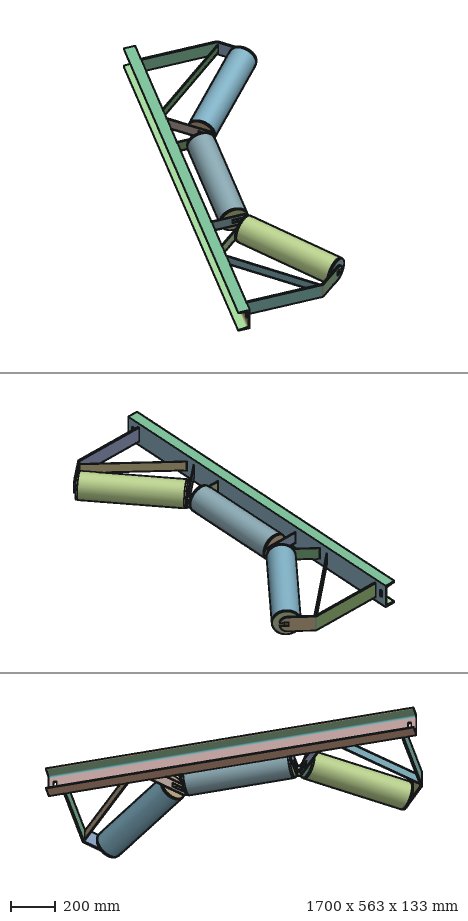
import cadquery as cq
import math

BEAM_LENGTH = 1700.0
BEAM_HEIGHT = 120.0
BEAM_DEPTH = 55.0
WEB_THICKNESS = 7.0
FLANGE_ROOT = 12.0
FLANGE_TIP = 7.0
ROOT_FILLET = 8.0
TIP_FILLET = 3.0
MOUNT_SLOT_LENGTH = 35.0
MOUNT_SLOT_WIDTH = 15.0
MOUNT_SLOT_INSET = 30.0

TOP_OF_FRAME = 563.0
ROLLER_DIAMETER = 133.0
ROLLER_LENGTH = 500.0
SHOULDER_LENGTH = 8.0
SHOULDER_STEP = 2.0
TONGUE_WIDTH = 19.0
TONGUE_HEIGHT = 20.0
TROUGH_ANGLE = 40.0
MIDDLE_ROLLER_Y = 172.0
SIDE_ROLLER_X = 500.0

POST_WIDTH = 78.0
BRACKET_WIDTH = 60.0
BRACE_WIDTH = 50.0
POST_THICKNESS = 8.0
POST_OUTER_X = 785.0
POST_TIP_REACH = 32.0
POST_BEND_RADIUS = 7.0
BAR_THICKNESS = 5.0
BRACKET_FOLD_RADIUS = 7.0
ROLLER_GAP = 3.0
BRACE_FOOT_X = 462.0
BRACE_ANGLE = 49.5

ROLLER_RADIUS = ROLLER_DIAMETER / 2
END_RADIUS = ROLLER_RADIUS - SHOULDER_STEP
COS_TROUGH = math.cos(math.radians(TROUGH_ANGLE))
SIN_TROUGH = math.sin(math.radians(TROUGH_ANGLE))
SIDE_ROLLER_Y = TOP_OF_FRAME - ROLLER_LENGTH / 2 * SIN_TROUGH - END_RADIUS * COS_TROUGH
SLOPE = COS_TROUGH / SIN_TROUGH


def side_point(along, across):
    """Point in XY at distances along the right side roller's axis and square to it."""
    return (
        SIDE_ROLLER_X + along * COS_TROUGH - across * SIN_TROUGH,
        SIDE_ROLLER_Y + along * SIN_TROUGH + across * COS_TROUGH,
    )


def side_plate_y(along, x):
    """Y at the given X on the plane square to the right side roller's axis."""
    base_x, base_y = side_point(along, 0)
    return base_y - (x - base_x) * SLOPE


def bar(points, width):
    """Flat bar with the given outline in XY, centred on Z = 0."""
    return cq.Workplane("XY", origin=(0, 0, -width / 2)).polyline(points).close().extrude(width)


def round_upright_edge(body, point, radius):
    """Fillet the edge parallel to Z that passes through an XY point."""
    return body.edges(cq.selectors.NearestToPointSelector((*point, 0))).fillet(radius)


def on_side_axis(body):
    """Move a body built along the X axis onto the right side roller's axis."""
    return body.rotate((0, 0, 0), (0, 0, 1), TROUGH_ANGLE).translate((SIDE_ROLLER_X, SIDE_ROLLER_Y, 0))


def both_sides(body):
    """The right-hand body and its mirror image on the left."""
    return [body.val(), body.mirror("YZ").val()]


def make_beam():
    half_height = BEAM_HEIGHT / 2
    inside_y = BEAM_DEPTH - WEB_THICKNESS
    profile = [
        (0, -half_height),
        (BEAM_DEPTH, -half_height),
        (BEAM_DEPTH, half_height),
        (0, half_height),
        (0, half_height - FLANGE_TIP),
        (inside_y, half_height - FLANGE_ROOT),
        (inside_y, -half_height + FLANGE_ROOT),
        (0, -half_height + FLANGE_TIP),
    ]
    end_plane = cq.Workplane("YZ", origin=(-BEAM_LENGTH / 2, 0, 0))
    beam = end_plane.polyline(profile).close().extrude(BEAM_LENGTH)
    for side in (-1, 1):
        root = (0, inside_y, side * (half_height - FLANGE_ROOT))
        tip = (0, 0, side * (half_height - FLANGE_TIP))
        beam = beam.edges(cq.selectors.NearestToPointSelector(root)).fillet(ROOT_FILLET)
        beam = beam.edges(cq.selectors.NearestToPointSelector(tip)).fillet(TIP_FILLET)
    slot_x = BEAM_LENGTH / 2 - MOUNT_SLOT_INSET
    slots = (
        cq.Workplane("XZ")
        .pushPoints([(-slot_x, 0), (slot_x, 0)])
        .slot2D(MOUNT_SLOT_LENGTH, MOUNT_SLOT_WIDTH, 90)
        .extrude(-BEAM_DEPTH)
    )
    return beam.cut(slots)


def cylinder_along_x(radius, length):
    """Cylinder on the X axis, centred on the origin."""
    return cq.Workplane("YZ", origin=(-length / 2, 0, 0)).circle(radius).extrude(length)


def make_roller():
    """Roller along X with a small shoulder and a flat shaft tongue at each end."""
    core = cylinder_along_x(END_RADIUS, ROLLER_LENGTH)
    shell = cylinder_along_x(ROLLER_RADIUS, ROLLER_LENGTH - 2 * SHOULDER_LENGTH)
    shaft_length = ROLLER_LENGTH + 2 * (ROLLER_GAP + BAR_THICKNESS)
    shaft = cq.Workplane("XY").box(shaft_length, TONGUE_HEIGHT, TONGUE_WIDTH)
    return core.union(shell).union(shaft)


def make_shaft_slot(start, length, reach):
    """Slot around a shaft on the X axis, open toward +Y, from start to start + length in X."""
    bottom = -TONGUE_HEIGHT / 2
    slot = cq.Workplane("XY").box(length, reach - bottom, TONGUE_WIDTH, centered=(False, False, True))
    return slot.translate((start, bottom, 0))


def make_post():
    """Right outer post: upright from the beam, bent inward to carry the side roller."""
    inner_along = ROLLER_LENGTH / 2 + ROLLER_GAP
    outer_along = inner_along + POST_THICKNESS
    inner_x = POST_OUTER_X - POST_THICKNESS
    outer_bend = (POST_OUTER_X, side_plate_y(outer_along, POST_OUTER_X))
    inner_bend = (inner_x, side_plate_y(inner_along, inner_x))
    post = bar(
        [
            (inner_x, BEAM_DEPTH),
            (POST_OUTER_X, BEAM_DEPTH),
            outer_bend,
            side_point(outer_along, POST_TIP_REACH),
            side_point(inner_along, POST_TIP_REACH),
            inner_bend,
        ],
        POST_WIDTH,
    )
    post = round_upright_edge(post, outer_bend, POST_BEND_RADIUS + POST_THICKNESS)
    post = round_upright_edge(post, inner_bend, POST_BEND_RADIUS)
    post = post.cut(on_side_axis(make_post_tip_waste(inner_along)))
    return post.cut(on_side_axis(make_shaft_slot(inner_along, POST_THICKNESS, POST_TIP_REACH)))


def make_post_tip_waste(start):
    """Material removed from a square post tip to leave a half-round one."""
    tip_radius = POST_WIDTH / 2
    centre_y = POST_TIP_REACH - tip_radius
    tip_plane = cq.Workplane("YZ", origin=(start, centre_y, 0))
    square = tip_plane.rect(tip_radius, POST_WIDTH).extrude(POST_THICKNESS).translate((0, tip_radius / 2, 0))
    return square.cut(tip_plane.circle(tip_radius).extrude(POST_THICKNESS))


def make_bracket():
    """Right inner bracket: bar folded to an upright for the middle roller and a leg for the side roller."""
    upright_x = ROLLER_LENGTH / 2 + ROLLER_GAP
    upright_far_x = upright_x + BAR_THICKNESS
    upper_along = -ROLLER_LENGTH / 2 - ROLLER_GAP
    lower_along = upper_along - BAR_THICKNESS

    def foot_x(along):
        return upright_x + (side_plate_y(along, upright_x) - BEAM_DEPTH) / SLOPE

    outer_fold = (upright_x, side_plate_y(upper_along, upright_x))
    inner_fold = (upright_far_x, side_plate_y(lower_along, upright_far_x))
    bracket = bar(
        [
            (upright_x, BEAM_DEPTH),
            (upright_far_x, BEAM_DEPTH),
            inner_fold,
            (foot_x(lower_along), BEAM_DEPTH),
            (foot_x(upper_along), BEAM_DEPTH),
            outer_fold,
        ],
        BRACKET_WIDTH,
    )
    bracket = round_upright_edge(bracket, outer_fold, BRACKET_FOLD_RADIUS + BAR_THICKNESS)
    bracket = round_upright_edge(bracket, inner_fold, BRACKET_FOLD_RADIUS)

    fold_reach = outer_fold[1] - MIDDLE_ROLLER_Y
    upright_slot = make_shaft_slot(upright_x, BAR_THICKNESS, fold_reach).translate((0, MIDDLE_ROLLER_Y, 0))
    leg_slot = on_side_axis(make_shaft_slot(lower_along, BAR_THICKNESS, fold_reach))
    return bracket.cut(upright_slot).cut(leg_slot)


def make_brace(post):
    """Right long brace: from the beam up to the bend of the post, shaped to meet it there."""
    inner_x = POST_OUTER_X - POST_THICKNESS
    rise = math.tan(math.radians(BRACE_ANGLE))
    half_foot = BAR_THICKNESS / 2 / math.sin(math.radians(BRACE_ANGLE))
    low_x = BRACE_FOOT_X - half_foot
    high_x = BRACE_FOOT_X + half_foot
    brace = bar(
        [
            (low_x, BEAM_DEPTH),
            (high_x, BEAM_DEPTH),
            (inner_x, BEAM_DEPTH + (inner_x - high_x) * rise),
            (inner_x, BEAM_DEPTH + (inner_x - low_x) * rise),
        ],
        BRACE_WIDTH,
    )
    return brace.cut(post)


beam = make_beam()
middle_roller = make_roller().translate((0, MIDDLE_ROLLER_Y, 0))
side_roller = on_side_axis(make_roller())
post = make_post()
bracket = make_bracket()
brace = make_brace(post)

result = cq.Compound.makeCompound(
    [
        beam.val(),
        middle_roller.val(),
        *both_sides(side_roller),
        *both_sides(post),
        *both_sides(bracket),
        *both_sides(brace),
    ]
)